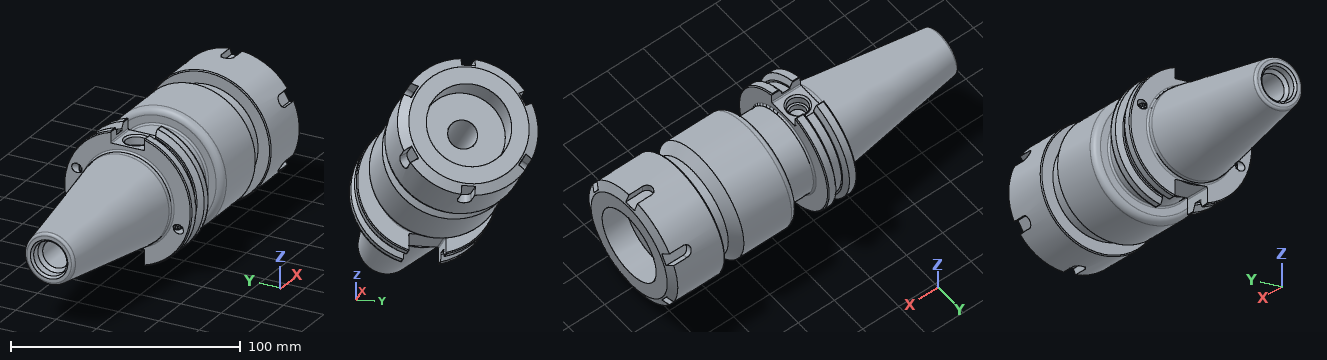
import cadquery as cq
import math

total_length = 172.9
gauge_x = 68.5
flange_start = 71.5
flange_width = 15.9
flange_end = flange_start + flange_width
flange_mid = flange_start + flange_width / 2
body_start = 103.2
body_chamfer_start = 133.0
nut_start = 144.4
nut_seat_x = 159.8

gauge_radius = 44.5 / 2
taper_slope = 7 / 48
tail_radius = gauge_radius - taper_slope * gauge_x
flange_radius = 63.3 / 2
neck_radius = 44.5 / 2
body_radius = 60.0 / 2
collar_radius = 50.3 / 2
nose_radius = 48.6 / 2
nut_radius = 62.8 / 2

tail_fillet = 1.4
root_fillet = 0.9
body_fillet = 3.3
flange_chamfer = 0.5
nut_back_chamfer = 0.5

groove_floor_radius = 56.0 / 2
groove_wall_foot_radius = 28.9
groove_floor_width = 4.3
groove_half_angle = 30

bore_radius = 13.3 / 2
mouth_radius = 16.5 / 2
mouth_chamfer = 1.0
mouth_depth = 4.8

drive_slot_width = 16.6
drive_slot_rim_chamfer = 0.3
drive_slot_floor_fillet = 0.5
upper_slot_floor = 24.9
lower_slot_floor = 22.5

chip_hole_radius = 10.2 / 2
chip_hole_chamfer = 0.9
chip_hole_depth = 4.7
chip_core_radius = 8.0 / 2
chip_core_depth = 8.0
drill_half_angle = 59

plug_circle_radius = 26.8
plug_azimuth = 20
plug_tilt = 35
plug_hole_radius = 4.1 / 2
plug_hole_depth = 7.0
plug_length = 4.8
plug_hex_across_flats = 2.0
plug_hex_depth = 1.5
plug_chamfer = 0.3

nut_chamfer_length = 2.2
nut_face_radius = 26.8
nut_mouth_radius = 38 / 2
wrench_slot_count = 6
wrench_slot_width = 6.0
wrench_slot_floor = 27.7
wrench_slot_start = 160.1


def turned(profile):
    """Revolve a closed (x, radius) profile about the X axis."""
    return profile.close().revolve(360, (0, 0, 0), (1, 0, 0))


def ring(x, radius):
    """Selector for the circular edge of the given radius centred on the X axis at x."""
    tolerance = 0.02
    reach = radius + tolerance
    box = cq.selectors.BoxSelector(
        (x - tolerance, -reach, -reach),
        (x + tolerance, reach, reach),
        boundingbox=True,
    )
    return box - cq.selectors.BoxSelector(
        (x - tolerance, tolerance - radius, tolerance - radius),
        (x + tolerance, radius - tolerance, radius - tolerance),
        boundingbox=True,
    )


def holder_blank():
    """Taper, flange, neck, body and nose as one turned shape."""
    profile = (
        cq.Workplane("XY")
        .lineTo(0, tail_radius)
        .lineTo(gauge_x, gauge_radius)
        .lineTo(flange_start, gauge_radius)
        .lineTo(flange_start, flange_radius)
        .lineTo(flange_end, flange_radius)
        .lineTo(flange_end, neck_radius)
        .lineTo(body_start, neck_radius)
        .lineTo(body_start, body_radius)
        .lineTo(body_chamfer_start, body_radius)
        .lineTo(body_chamfer_start + body_radius - collar_radius, collar_radius)
        .lineTo(nut_start, collar_radius)
        .lineTo(nut_start, nose_radius)
        .lineTo(nut_seat_x, nose_radius)
        .lineTo(nut_seat_x, 0)
    )
    blank = turned(profile)
    blank = blank.edges(ring(0, tail_radius)).fillet(tail_fillet)
    blank = blank.edges(ring(flange_start, gauge_radius)).fillet(root_fillet)
    blank = blank.edges(ring(flange_end, neck_radius)).fillet(root_fillet)
    blank = blank.edges(ring(body_start, neck_radius)).fillet(root_fillet)
    for x in (flange_start, flange_end):
        blank = blank.edges(ring(x, flange_radius)).chamfer(flange_chamfer)
    return blank.edges(ring(body_start, body_radius)).fillet(body_fillet)


def flange_groove():
    """Ring removed by the V groove."""
    half_floor = groove_floor_width / 2
    wall_run = (flange_radius - groove_wall_foot_radius) * math.tan(math.radians(groove_half_angle))
    half_top = half_floor + wall_run
    profile = (
        cq.Workplane("XY")
        .moveTo(flange_mid - half_floor, groove_floor_radius)
        .lineTo(flange_mid - half_floor, groove_wall_foot_radius)
        .lineTo(flange_mid - half_top, flange_radius)
        .lineTo(flange_mid + half_top, flange_radius)
        .lineTo(flange_mid + half_floor, groove_wall_foot_radius)
        .lineTo(flange_mid + half_floor, groove_floor_radius)
    )
    return turned(profile)


def stepped_bore():
    """Through bore with a chamfered, wider mouth at the small end."""
    profile = (
        cq.Workplane("XY")
        .lineTo(0, mouth_radius + mouth_chamfer)
        .lineTo(mouth_chamfer, mouth_radius)
        .lineTo(mouth_depth, mouth_radius)
        .lineTo(mouth_depth + mouth_radius - bore_radius, bore_radius)
        .lineTo(total_length, bore_radius)
        .lineTo(total_length, 0)
    )
    return turned(profile)


def drive_slot(floor, angle):
    """Cutter for one drive slot, flared at the rim and rounded along the floor corners."""
    half_width = drive_slot_width / 2
    wall_top = math.sqrt(flange_radius**2 - half_width**2)
    flare_start = wall_top - drive_slot_rim_chamfer
    flare = flange_radius - flare_start
    cutter = (
        cq.Workplane("YZ")
        .workplane(offset=flange_start)
        .moveTo(-half_width, floor)
        .lineTo(half_width, floor)
        .lineTo(half_width, flare_start)
        .lineTo(half_width + flare, flange_radius)
        .lineTo(-half_width - flare, flange_radius)
        .lineTo(-half_width, flare_start)
        .close()
        .extrude(flange_width)
    )
    cutter = cutter.faces("<Z").edges("|X").fillet(drive_slot_floor_fillet)
    return cutter.rotate((0, 0, 0), (1, 0, 0), angle)


def chip_hole():
    """Chamfered blind hole with a narrower core that ends in a drill point."""
    shoulder_z = upper_slot_floor - chip_hole_depth
    core_end_z = upper_slot_floor - chip_core_depth
    tip_z = core_end_z - chip_core_radius / math.tan(math.radians(drill_half_angle))
    return (
        cq.Workplane("XZ")
        .moveTo(0, upper_slot_floor)
        .lineTo(chip_hole_radius + chip_hole_chamfer, upper_slot_floor)
        .lineTo(chip_hole_radius, upper_slot_floor - chip_hole_chamfer)
        .lineTo(chip_hole_radius, shoulder_z)
        .lineTo(chip_core_radius, shoulder_z)
        .lineTo(chip_core_radius, core_end_z)
        .lineTo(0, tip_z)
        .close()
        .revolve(360, (0, 0, 0), (0, 1, 0))
        .translate((flange_mid, 0, 0))
    )


def plug_plane(azimuth):
    """Plane on the flange face whose normal points out along an inclined plug hole."""
    tilt = math.radians(plug_tilt)
    turn = math.radians(azimuth)
    out_y = math.cos(turn)
    out_z = math.sin(turn)
    return cq.Plane(
        origin=(flange_start, plug_circle_radius * out_y, plug_circle_radius * out_z),
        xDir=(0, -out_z, out_y),
        normal=(-math.cos(tilt), math.sin(tilt) * out_y, math.sin(tilt) * out_z),
    )


def plug_hole(azimuth):
    """Blind inclined hole, run out past the flange face so that its mouth is open."""
    overrun = plug_hole_radius
    return (
        cq.Workplane(plug_plane(azimuth))
        .workplane(offset=-plug_hole_depth)
        .circle(plug_hole_radius)
        .extrude(plug_hole_depth + overrun)
    )


def plug_screw(azimuth):
    """Headless screw with a hexagon socket, seated on the floor of its hole."""
    return (
        cq.Workplane(plug_plane(azimuth))
        .workplane(offset=-plug_hole_depth)
        .circle(plug_hole_radius)
        .extrude(plug_length)
        .faces("<X")
        .chamfer(plug_chamfer)
        .faces("<X")
        .workplane()
        .polygon(6, plug_hex_across_flats, circumscribed=True)
        .cutBlind(-plug_hex_depth)
    )


def build_holder(azimuths):
    holder = holder_blank()
    holder = holder.cut(drive_slot(upper_slot_floor, 0))
    holder = holder.cut(drive_slot(lower_slot_floor, 180))
    holder = holder.cut(flange_groove())
    holder = holder.cut(stepped_bore())
    holder = holder.cut(chip_hole())
    for azimuth in azimuths:
        holder = holder.cut(plug_hole(azimuth))
    return holder


def wrench_slot(angle):
    """Round-ended slot in the rim of the nut, open at its front face."""
    end_radius = wrench_slot_width / 2
    start = wrench_slot_start + end_radius
    slot = (
        cq.Workplane("XY")
        .workplane(offset=wrench_slot_floor)
        .moveTo(total_length, -end_radius)
        .lineTo(start, -end_radius)
        .threePointArc((wrench_slot_start, 0), (start, end_radius))
        .lineTo(total_length, end_radius)
        .close()
        .extrude(nut_radius - wrench_slot_floor)
    )
    return slot.rotate((0, 0, 0), (1, 0, 0), angle)


def build_nut():
    """Nut with a seat for the holder nose, an open mouth and wrench slots."""
    profile = (
        cq.Workplane("XY")
        .moveTo(nut_start, nose_radius)
        .lineTo(nut_start, nut_radius - nut_back_chamfer)
        .lineTo(nut_start + nut_back_chamfer, nut_radius)
        .lineTo(total_length - nut_chamfer_length, nut_radius)
        .lineTo(total_length, nut_face_radius)
        .lineTo(total_length, nut_mouth_radius)
        .lineTo(nut_seat_x, nut_mouth_radius)
        .lineTo(nut_seat_x, nose_radius)
    )
    nut = turned(profile)
    for index in range(wrench_slot_count):
        nut = nut.cut(wrench_slot(index * 360 / wrench_slot_count))
    return nut


plug_azimuths = [plug_azimuth, plug_azimuth + 180]
holder = build_holder(plug_azimuths)
nut = build_nut()
plugs = [plug_screw(azimuth) for azimuth in plug_azimuths]

result = cq.Compound.makeCompound([holder.val(), nut.val(), *[plug.val() for plug in plugs]])